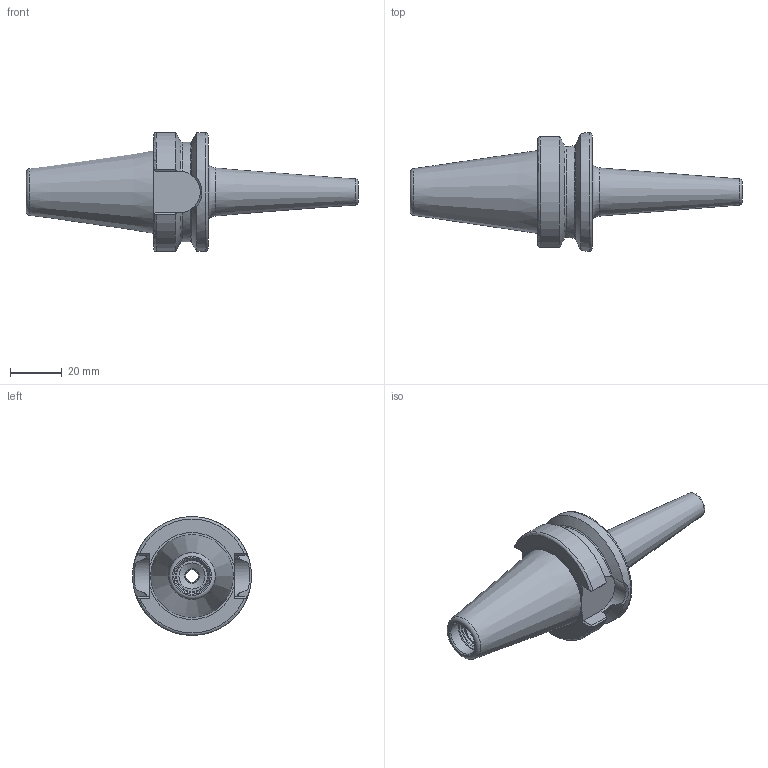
import cadquery as cq
import math


rear_x = -48.4
nose_x = 80.0

gauge_diameter = 31.75
taper_ratio = 7 / 24
shank_end_round = 1.5

flange_diameter = 46.0
flange_front_x = 1.0
flange_back_x = 22.0
land_diameter = 33.6
land_height = 0.18
flange_edge_round = 1.0
groove_diameter = 38.4
groove_wall_angle = 30.0
groove_corner_radius = 0.6
groove_start_x = 11.6
groove_end_x = 15.45

nose_tip_diameter = 10.11
nose_half_angle = 4.5
nose_tip_round = 1.0
nose_root_x = 24.85
nose_root_radius = 3.5

slot_width = 16.1
slot_floor = 16.3
slot_end_x = 19.0
slot_edge_chamfer = 0.65

mouth_diameter = 14.0
mouth_chamfer_angle = 45.0
pilot_diameter = 13.1
pilot_depth = 4.6
relief_diameter = 12.5
relief_depth = 5.8
thread_recess_diameter = 12.0
thread_recess_depth = 7.0
thread_core_diameter = 10.11
thread_depth = 24.0
clearance_diameter = 5.6
tool_diameter = 4.76
tool_bore_depth = 20.0
drill_point_half_angle = 59.0


def shank_radius(x):
    return (gauge_diameter + x * taper_ratio) / 2


def nose_radius(x):
    tip_tangent_x = nose_x - nose_tip_round
    return nose_tip_diameter / 2 + (tip_tangent_x - x) * math.tan(math.radians(nose_half_angle))


def revolve_about_x(profile):
    return profile.close().revolve(360, (0, 0, 0), (1, 0, 0))


def shank():
    shank_end_x = flange_front_x - land_height
    profile = (
        cq.Workplane("XY")
        .moveTo(rear_x, 0)
        .lineTo(rear_x, shank_radius(rear_x))
        .lineTo(shank_end_x, shank_radius(shank_end_x))
        .lineTo(shank_end_x, 0)
    )
    return revolve_about_x(profile).faces("<X").edges().fillet(shank_end_round)


def flange_blank():
    """Plain flange disc with the low contact land around the shank."""
    outer = flange_diameter / 2
    land_x = flange_front_x - land_height
    profile = (
        cq.Workplane("XY")
        .moveTo(land_x, 0)
        .lineTo(land_x, land_diameter / 2)
        .lineTo(flange_front_x, land_diameter / 2)
        .lineTo(flange_front_x, outer)
        .lineTo(flange_back_x, outer)
        .lineTo(flange_back_x, 0)
    )
    return revolve_about_x(profile)


def drive_slot():
    """Round-ended slot on the -Y side, open to the front face."""
    half = slot_width / 2
    arc_centre_x = slot_end_x - half
    return (
        cq.Workplane("XZ", origin=(0, -slot_floor, 0))
        .moveTo(rear_x, -half)
        .lineTo(arc_centre_x, -half)
        .threePointArc((slot_end_x, 0), (arc_centre_x, half))
        .lineTo(rear_x, half)
        .close()
        .extrude(flange_diameter / 2)
    )


def chamfer_slot_edges(body):
    """Chamfer the slot walls where they meet the front face and the outer cylinder."""
    half = slot_width / 2
    outer = flange_diameter / 2
    wall_rim = math.sqrt(outer**2 - half**2)
    margin = 0.5
    front_edges = cq.selectors.BoxSelector(
        (flange_front_x - margin, -wall_rim, -half - margin),
        (flange_front_x + margin, -slot_floor - margin, half + margin),
    )
    rim_edges = cq.selectors.BoxSelector(
        (flange_front_x + margin, -outer - margin, -half - margin),
        (slot_end_x + margin, -wall_rim + margin, half + margin),
    )
    return body.edges(front_edges + rim_edges).chamfer(slot_edge_chamfer)


def flange_edge_cutter(face_x, inward):
    """Ring that rounds one outer edge of the flange; inward is +1 or -1 along X."""
    outer = flange_diameter / 2
    tangent_x = face_x + inward * flange_edge_round
    tangent_r = outer - flange_edge_round
    diagonal = flange_edge_round * math.sqrt(0.5)
    profile = (
        cq.Workplane("XY")
        .moveTo(face_x, tangent_r)
        .threePointArc((tangent_x - inward * diagonal, tangent_r + diagonal), (tangent_x, outer))
        .lineTo(tangent_x, outer + flange_edge_round)
        .lineTo(face_x, outer + flange_edge_round)
    )
    return revolve_about_x(profile)


def gripper_groove():
    """Ring that cuts the V-shaped groove with rounded bottom corners."""
    outer = flange_diameter / 2
    bottom = groove_diameter / 2
    wall_run = (outer - bottom) * math.tan(math.radians(groove_wall_angle))
    profile = (
        cq.Workplane("XY")
        .moveTo(groove_start_x, bottom)
        .lineTo(groove_end_x, bottom)
        .lineTo(groove_end_x + wall_run, outer)
        .lineTo(groove_end_x + wall_run, flange_diameter)
        .lineTo(groove_start_x - wall_run, flange_diameter)
        .lineTo(groove_start_x - wall_run, outer)
    )
    bottom_corners = cq.selectors.BoxSelector(
        (groove_start_x - groove_corner_radius, -outer, -outer),
        (groove_end_x + groove_corner_radius, outer, outer),
    )
    return revolve_about_x(profile).edges("%CIRCLE").edges(bottom_corners).fillet(groove_corner_radius)


def flange():
    body = flange_blank().cut(drive_slot())
    body = chamfer_slot_edges(body)
    body = body.intersect(body.rotate((0, 0, 0), (1, 0, 0), 180))
    body = body.cut(flange_edge_cutter(flange_front_x, 1))
    body = body.cut(flange_edge_cutter(flange_back_x, -1))
    return body.cut(gripper_groove())


def nose():
    """Cone with a concave root arc that is tangent to the cone and runs into the flange."""
    tilt = math.radians(nose_half_angle)
    root_radius = nose_radius(nose_root_x)
    centre_x = nose_root_x + nose_root_radius * math.sin(tilt)
    centre_r = root_radius + nose_root_radius * math.cos(tilt)

    def root_arc_point(x):
        return (x, centre_r - math.sqrt(nose_root_radius**2 - (x - centre_x) ** 2))

    profile = (
        cq.Workplane("XY")
        .moveTo(flange_back_x, 0)
        .lineTo(*root_arc_point(flange_back_x))
        .threePointArc(root_arc_point((flange_back_x + nose_root_x) / 2), (nose_root_x, root_radius))
        .lineTo(nose_x, nose_radius(nose_x))
        .lineTo(nose_x, 0)
    )
    return revolve_about_x(profile).faces(">X").edges().fillet(nose_tip_round)


def bore():
    """Stepped bore: mouth, pilot, relief, thread core, drill point, clearance and tool hole."""
    mouth_r = mouth_diameter / 2
    pilot_r = pilot_diameter / 2
    relief_r = relief_diameter / 2
    recess_r = thread_recess_diameter / 2
    thread_r = thread_core_diameter / 2
    clearance_r = clearance_diameter / 2
    tool_r = tool_diameter / 2
    mouth_depth = (mouth_r - pilot_r) / math.tan(math.radians(mouth_chamfer_angle))
    pilot_end_x = rear_x + pilot_depth
    relief_end_x = rear_x + relief_depth
    recess_end_x = rear_x + thread_recess_depth
    thread_end_x = rear_x + thread_depth
    point_length = (thread_r - clearance_r) / math.tan(math.radians(drill_point_half_angle))
    tool_start_x = nose_x - tool_bore_depth
    profile = (
        cq.Workplane("XY")
        .moveTo(rear_x, 0)
        .lineTo(rear_x, mouth_r)
        .lineTo(rear_x + mouth_depth, pilot_r)
        .lineTo(pilot_end_x, pilot_r)
        .lineTo(pilot_end_x + pilot_r - relief_r, relief_r)
        .lineTo(relief_end_x, relief_r)
        .lineTo(relief_end_x + relief_r - recess_r, recess_r)
        .lineTo(recess_end_x, recess_r)
        .lineTo(recess_end_x, thread_r)
        .lineTo(thread_end_x, thread_r)
        .lineTo(thread_end_x + point_length, clearance_r)
        .lineTo(tool_start_x, clearance_r)
        .lineTo(tool_start_x, tool_r)
        .lineTo(nose_x, tool_r)
        .lineTo(nose_x, 0)
    )
    return revolve_about_x(profile)


result = shank().union(flange()).union(nose())
result = result.cut(bore())